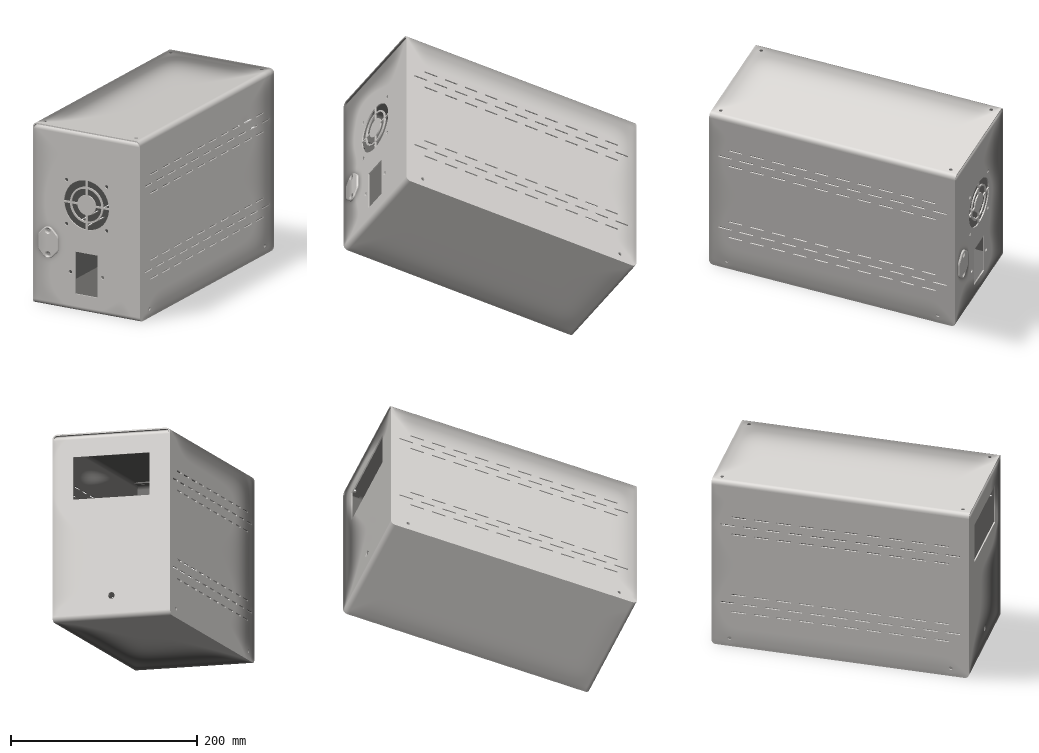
import cadquery as cq

width = 133.0
height = 204.5
overall_depth = 288.0
plate_thickness = 2.0
depth = overall_depth - plate_thickness
panel_y = depth / 2
sheet = 1.5
bend_radius = 5.2
inner_bend_radius = bend_radius - sheet
cut_length = 4 * sheet

top_screw_diameter = 4.0
top_screw_x = 56.5
top_screw_y = 133.5
side_screw_diameter = 4.0
side_screw_y = 122.7
side_screw_z = 9.8

slot_length = 15.8
slot_height = 1.7
outer_row_span = 225.0
slot_row_spacing = 10.7
slot_group_heights = (54.0, 150.5)
outer_row_count = 10
middle_row_count = 11
slot_pitch = outer_row_span / (outer_row_count - 1)

chassis_height = height - sheet
chassis_width = width - 2 * sheet
flange_depth = 17.3

fan_z = 121.5
fan_radius = 28.0
guard_ring_outer_radius = 20.5
guard_ring_inner_radius = 18.5
guard_hub_radius = 11.2
spoke_width = 2.0
fan_screw_spacing = 49.8
fan_screw_diameter = 4.0

socket_width = 28.0
socket_height = 47.8
socket_z = 43.0
socket_screw_spacing = 40.0
socket_screw_diameter = 4.0

window_width = 86.5
window_bottom = 132.2
window_top = 178.5
cable_hole_diameter = 7.2
cable_hole_z = 24.8

plate_x = -47.0
plate_z = 72.0
plate_half_width = 12.5
plate_tip = 21.0
plate_tip_radius = 7.8
plate_side_radius = 6.3
plate_chamfer = 1.0
plate_screw_spacing = 26.8
plate_screw_diameter = 3.2
plate_countersink_diameter = 7.2
countersink_angle = 90


def round_cutter(radius, x, z, outer_face_y=-panel_y):
    """Cylinder along Y through the panel whose outer face lies at outer_face_y."""
    return (
        cq.Workplane("XZ", origin=(x, outer_face_y, z))
        .circle(radius)
        .extrude(cut_length / 2, both=True)
    )


def rectangular_cutter(size_x, size_z, z, outer_face_y=-panel_y):
    """Block centred on X through the panel whose outer face lies at outer_face_y."""
    return cq.Workplane("XY", origin=(0, outer_face_y, z)).box(size_x, cut_length, size_z)


def arch_block(block_width, block_height, corner_radius):
    """Block as deep as the box whose two upper edges along Y are rounded."""
    return (
        cq.Workplane("XY")
        .box(block_width, depth, block_height, centered=(True, True, False))
        .edges("|Y and >Z")
        .fillet(corner_radius)
    )


def slot_row(count, z):
    """Row of slots running along Y, cutting through both sides of the cover."""
    return (
        cq.Workplane("YZ", origin=(0, 0, z))
        .rarray(slot_pitch, 3, count, 1)
        .rect(slot_length, slot_height)
        .extrude(width, both=True)
    )


def top_screw_cutter():
    """Four screw holes through the cover top and the chassis flanges below it."""
    return (
        cq.Workplane("XY", origin=(0, 0, height))
        .rarray(2 * top_screw_x, 2 * top_screw_y, 2, 2)
        .circle(top_screw_diameter / 2)
        .extrude(-cut_length)
    )


def make_cover():
    """Inverted U of sheet metal: two slotted sides and the top."""
    cavity = arch_block(chassis_width, chassis_height, inner_bend_radius)
    cover = arch_block(width, height, bend_radius).cut(cavity)
    cover = cover.edges("|X and <Z").fillet(bend_radius)
    for group_z in slot_group_heights:
        cover = cover.cut(slot_row(middle_row_count, group_z))
        for offset in (-slot_row_spacing, slot_row_spacing):
            cover = cover.cut(slot_row(outer_row_count, group_z + offset))
    side_screws = (
        cq.Workplane("YZ", origin=(0, 0, side_screw_z))
        .rarray(2 * side_screw_y, 3, 2, 1)
        .circle(side_screw_diameter / 2)
        .extrude(width, both=True)
    )
    return cover.cut(side_screws).cut(top_screw_cutter())


def chassis_shell():
    """Floor, two end panels and two top flanges folded from one sheet."""
    shell = (
        cq.Workplane("XY")
        .box(chassis_width, depth, chassis_height, centered=(True, True, False))
        .edges("|X")
        .fillet(bend_radius)
    )
    cavity = (
        cq.Workplane("XY", origin=(0, 0, sheet))
        .box(chassis_width, depth - 2 * sheet, chassis_height - 2 * sheet, centered=(True, True, False))
        .edges("|X")
        .fillet(inner_bend_radius)
    )
    top_gap = cq.Workplane("XY", origin=(0, 0, chassis_height - bend_radius)).box(
        chassis_width, depth - 2 * flange_depth, 2 * bend_radius
    )
    rounded_outline = arch_block(chassis_width, chassis_height, bend_radius)
    return shell.cut(cavity).cut(top_gap).intersect(rounded_outline)


def fan_cutter():
    """Fan opening, leaving the hub, ring and four spokes of the guard."""
    hub = round_cutter(guard_hub_radius, 0, fan_z)
    ring_inside = round_cutter(guard_ring_inner_radius, 0, fan_z)
    ring = round_cutter(guard_ring_outer_radius, 0, fan_z).cut(ring_inside)
    level_spokes = rectangular_cutter(2 * fan_radius, spoke_width, fan_z)
    upright_spokes = rectangular_cutter(spoke_width, 2 * fan_radius, fan_z)
    guard = hub.union(ring).union(level_spokes).union(upright_spokes)
    return round_cutter(fan_radius, 0, fan_z).cut(guard)


def make_chassis():
    """Folded floor and panels with the fan, socket, window and cable openings."""
    chassis = chassis_shell().cut(top_screw_cutter()).cut(fan_cutter())
    half_spacing = fan_screw_spacing / 2
    for x in (-half_spacing, half_spacing):
        for z in (fan_z - half_spacing, fan_z + half_spacing):
            chassis = chassis.cut(round_cutter(fan_screw_diameter / 2, x, z))

    chassis = chassis.cut(rectangular_cutter(socket_width, socket_height, socket_z))
    for x in (-socket_screw_spacing / 2, socket_screw_spacing / 2):
        chassis = chassis.cut(round_cutter(socket_screw_diameter / 2, x, socket_z))

    window_z = (window_bottom + window_top) / 2
    window = rectangular_cutter(window_width, window_top - window_bottom, window_z, panel_y)
    cable_hole = round_cutter(cable_hole_diameter / 2, 0, cable_hole_z, panel_y)
    return chassis.cut(window).cut(cable_hole)


def make_plate():
    """Six-sided plate with rounded corners and two countersunk holes."""
    shoulder_z = plate_tip - plate_half_width
    plate = (
        cq.Workplane("XZ", origin=(plate_x, -panel_y, plate_z))
        .polyline([
            (0, plate_tip),
            (plate_half_width, shoulder_z),
            (plate_half_width, -shoulder_z),
            (0, -plate_tip),
            (-plate_half_width, -shoulder_z),
            (-plate_half_width, shoulder_z),
        ])
        .close()
        .extrude(plate_thickness)
    )
    plate = plate.edges("|Y and (>Z or <Z)").fillet(plate_tip_radius)
    plate = plate.edges("|Y and (>X or <X)").fillet(plate_side_radius)
    plate = plate.faces("<Y").chamfer(plate_chamfer)
    return (
        plate.faces("<Y")
        .workplane(origin=(plate_x, -panel_y - plate_thickness, plate_z))
        .rarray(3, plate_screw_spacing, 1, 2)
        .cskHole(plate_screw_diameter, plate_countersink_diameter, countersink_angle)
    )


cover = make_cover()
chassis = make_chassis()
plate = make_plate()

result = cq.Compound.makeCompound([cover.val(), chassis.val(), plate.val()])